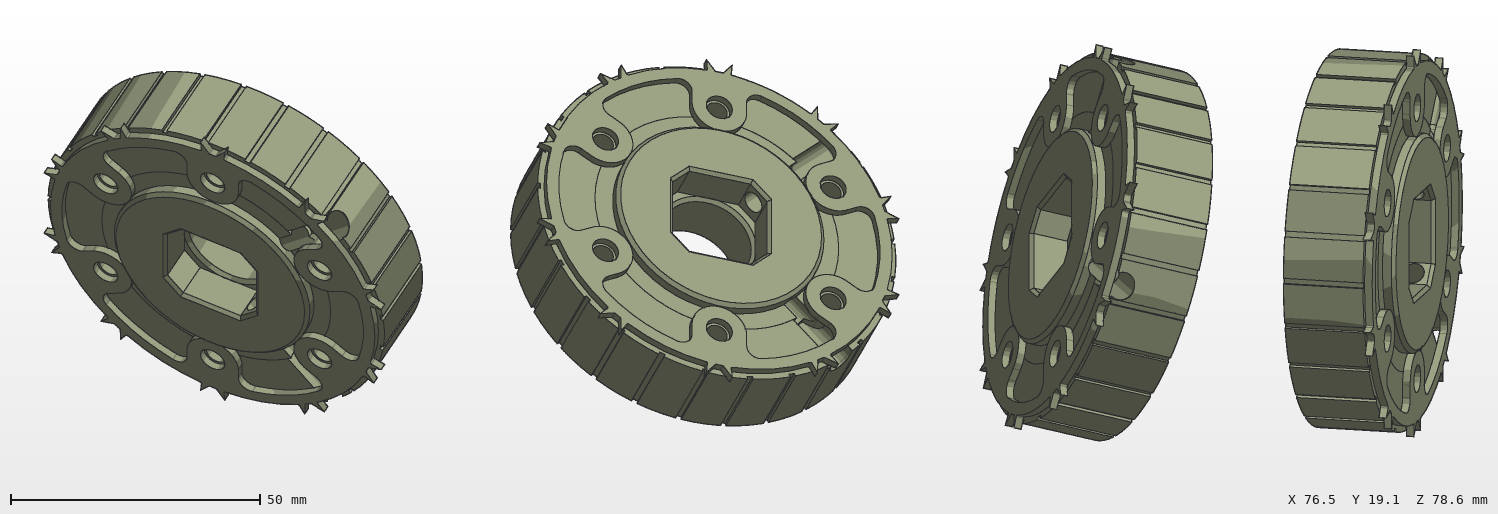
import cadquery as cq
import math

TYRE_RADIUS = 38.1
TYRE_WIDTH = 16.5

SLIT_COUNT = 25
SLIT_WIDTH = 1.2
SLIT_DEPTH = 0.6

HUB_RADIUS = 25.9
BOSS_RADIUS = 22.15
BOSS_CHAMFER = 0.8
BOSS_PROTRUSION = 1.0

SOCKET_HALF_WIDTH = 10.05
SOCKET_CORNER_DISTANCE = 11.7
SOCKET_DEPTH = 8.0
SOCKET_CHAMFER = 0.7
BORE_RADIUS = 9.5
BORE_CHAMFER = 0.8

PLATE_RADIUS = 36.8
PLATE_THICKNESS = 1.6
WINDOW_RADIUS = 34.2
WINDOW_FILLET = 2.5
LUG_COUNT = 6
LUG_HALF_PITCH = 180 / LUG_COUNT
PLATE_LUG_RADIUS = 5.8
HUB_LUG_RADIUS = 5.0
LUG_CIRCLE_RADIUS = BOSS_RADIUS + PLATE_LUG_RADIUS

SCREW_RADIUS = 2.2
SCREW_HEAD_RADIUS = 2.75

TOOTH_PAIR_COUNT = 10
TOOTH_TIP_HEIGHT = 39.3
TOOTH_TIP_OFFSET = 2.75
TOOTH_OUTER_ROOT_OFFSET = 2.5
TOOTH_INNER_ROOT_OFFSET = 0.8
TOOTH_ROOT_FILLET = 0.3

CROSS_HOLE_ANGLES = (45, -45)
CROSS_HOLE_Y = 1.4
CROSS_HOLE_OUTER_RADIUS = 3.15
CROSS_HOLE_INNER_RADIUS = 2.3
CROSS_HOLE_END_RADIUS = 38.2
CROSS_HOLE_END_FILLET = 0.8

CHAMFER_ANGLE = 45
TOLERANCE = 0.01

BOSS_FACE_Y = -PLATE_THICKNESS - BOSS_PROTRUSION


def face_sketch(y):
    """Workplane facing +Y at the given Y, with local x = X and local y = -Z."""
    return cq.Workplane(cq.Plane(origin=(0, y, 0), xDir=(1, 0, 0), normal=(0, 1, 0)))


def disc(radius, start_y, end_y):
    return face_sketch(start_y).circle(radius).extrude(end_y - start_y)


def turned(shape, angle):
    """Turn a shape about the wheel axis, from +X towards +Z."""
    return shape.rotate((0, 0, 0), (0, -1, 0), angle)


def around_wheel(shape, count, first_angle):
    return [turned(shape, first_angle + i * 360 / count) for i in range(count)]


def cut_all(body, cutters):
    for cutter in cutters:
        body = body.cut(cutter)
    return body


def screw_holes(radius, start_y, end_y):
    hole = disc(radius, start_y, end_y).translate((LUG_CIRCLE_RADIUS, 0, 0))
    return around_wheel(hole, LUG_COUNT, LUG_HALF_PITCH)


def lug_slots(radius, end_radius, start_y, end_y):
    """Bars centred on the screws, running from the screw circle to another radius, rounded at the screw."""
    run = end_radius - LUG_CIRCLE_RADIUS
    bar = face_sketch(start_y).center(run / 2, 0).rect(abs(run), 2 * radius).extrude(end_y - start_y)
    slot = disc(radius, start_y, end_y).union(bar).translate((LUG_CIRCLE_RADIUS, 0, 0))
    return around_wheel(slot, LUG_COUNT, LUG_HALF_PITCH)


def hub_core():
    """Round core with six lugs for the screws; the tyre is hollowed to the same shape."""
    core = disc(HUB_RADIUS, 0, TYRE_WIDTH)
    for lug in lug_slots(HUB_LUG_RADIUS, BOSS_RADIUS, 0, TYRE_WIDTH):
        core = core.union(lug)
    return core


def radial_cylinder(radius, length):
    return cq.Workplane("YZ").center(CROSS_HOLE_Y, 0).circle(radius).extrude(length)


def hub_cross_holes():
    hole = radial_cylinder(CROSS_HOLE_INNER_RADIUS, TYRE_RADIUS)
    return [turned(hole, angle) for angle in CROSS_HOLE_ANGLES]


def tyre_cross_holes():
    """Wide holes whose rounded ends just break through the tread."""
    hole = radial_cylinder(CROSS_HOLE_OUTER_RADIUS, CROSS_HOLE_END_RADIUS)
    hole = hole.faces(">X").edges().fillet(CROSS_HOLE_END_FILLET)
    return [turned(hole, angle) for angle in CROSS_HOLE_ANGLES]


def make_tyre():
    """Outer ring with slits across its tread."""
    tyre = disc(TYRE_RADIUS, 0, TYRE_WIDTH).cut(hub_core())
    slit = cq.Workplane("XY").box(2 * SLIT_DEPTH, TYRE_WIDTH, SLIT_WIDTH)
    slit = slit.translate((TYRE_RADIUS, TYRE_WIDTH / 2, 0))
    tyre = cut_all(tyre, around_wheel(slit, SLIT_COUNT, 180))
    return cut_all(tyre, tyre_cross_holes())


def turn_point(point, angle):
    cosine = math.cos(math.radians(angle))
    sine = math.sin(math.radians(angle))
    return (point[0] * cosine - point[1] * sine, point[0] * sine + point[1] * cosine)


def octagon_block(half_width, corner_distance, start_y, depth, taper=0):
    """Square with its corners cut off at 45 degrees, extruded towards +Y."""
    half_flat = math.sqrt(2) * corner_distance - half_width
    quarter = [(half_width, half_flat), (half_flat, half_width)]
    points = [turn_point(point, 90 * i) for i in range(4) for point in quarter]
    return face_sketch(start_y).polyline(points).close().extrude(depth, taper=taper)


def make_hub():
    """Core with a chamfered boss, an octagonal socket and a round bore behind the socket."""
    boss = disc(BOSS_RADIUS, BOSS_FACE_Y, 0).faces("<Y").chamfer(BOSS_CHAMFER)
    hub = hub_core().union(boss)

    hub = hub.cut(octagon_block(SOCKET_HALF_WIDTH, SOCKET_CORNER_DISTANCE, BOSS_FACE_Y, SOCKET_DEPTH))
    mouth_half_width = SOCKET_HALF_WIDTH + SOCKET_CHAMFER
    mouth_corner_distance = SOCKET_CORNER_DISTANCE + SOCKET_CHAMFER
    mouth = octagon_block(
        mouth_half_width, mouth_corner_distance, BOSS_FACE_Y, SOCKET_CHAMFER, CHAMFER_ANGLE
    )
    hub = hub.cut(mouth)

    socket_bottom_y = BOSS_FACE_Y + SOCKET_DEPTH
    bore = disc(BORE_RADIUS, socket_bottom_y, TYRE_WIDTH)
    bore_mouth = face_sketch(socket_bottom_y).circle(BORE_RADIUS + BORE_CHAMFER)
    bore_mouth = bore_mouth.extrude(BORE_CHAMFER, taper=CHAMFER_ANGLE)
    hub = hub.cut(bore).cut(bore_mouth)

    hub = cut_all(hub, screw_holes(SCREW_RADIUS, 0, TYRE_WIDTH))
    return cut_all(hub, hub_cross_holes())


def plate_opening():
    """Six-lobed opening around the boss, leaving a lug for each screw."""
    opening = turned(disc(WINDOW_RADIUS, -PLATE_THICKNESS, 0), LUG_HALF_PITCH)
    opening = cut_all(opening, lug_slots(PLATE_LUG_RADIUS, PLATE_RADIUS, -PLATE_THICKNESS, 0))
    corners = opening.edges("|Y").filter(lambda edge: is_at_radius(edge, WINDOW_RADIUS))
    return corners.fillet(WINDOW_FILLET)


def is_at_radius(edge, radius):
    center = edge.Center()
    return abs(math.hypot(center.x, center.z) - radius) < TOLERANCE


def tooth_pair():
    """Two mirrored hooked teeth, one on each side of the +X direction."""
    outer_root_height = math.sqrt(PLATE_RADIUS**2 - TOOTH_OUTER_ROOT_OFFSET**2)
    inner_root_height = math.sqrt(PLATE_RADIUS**2 - TOOTH_INNER_ROOT_OFFSET**2)
    points = [
        (WINDOW_RADIUS, TOOTH_INNER_ROOT_OFFSET),
        (inner_root_height, TOOTH_INNER_ROOT_OFFSET),
        (TOOTH_TIP_HEIGHT, TOOTH_TIP_OFFSET),
        (outer_root_height, TOOTH_OUTER_ROOT_OFFSET),
        (WINDOW_RADIUS, TOOTH_OUTER_ROOT_OFFSET),
    ]
    tooth = face_sketch(-PLATE_THICKNESS).polyline(points).close().extrude(PLATE_THICKNESS)
    return tooth.union(tooth.mirror("XY"))


def make_plate():
    """Toothed ring with a lug for each screw."""
    plate = disc(PLATE_RADIUS, -PLATE_THICKNESS, 0)
    for pair in around_wheel(tooth_pair(), TOOTH_PAIR_COUNT, 90):
        plate = plate.union(pair)
    roots = plate.edges("|Y").filter(lambda edge: is_at_radius(edge, PLATE_RADIUS))
    plate = roots.fillet(TOOTH_ROOT_FILLET)
    plate = plate.cut(plate_opening())
    return cut_all(plate, screw_holes(SCREW_HEAD_RADIUS, -PLATE_THICKNESS, 0))


tyre = make_tyre()
hub = make_hub()
plate = make_plate()
result = cq.Compound.makeCompound([tyre.val(), hub.val(), plate.val()])